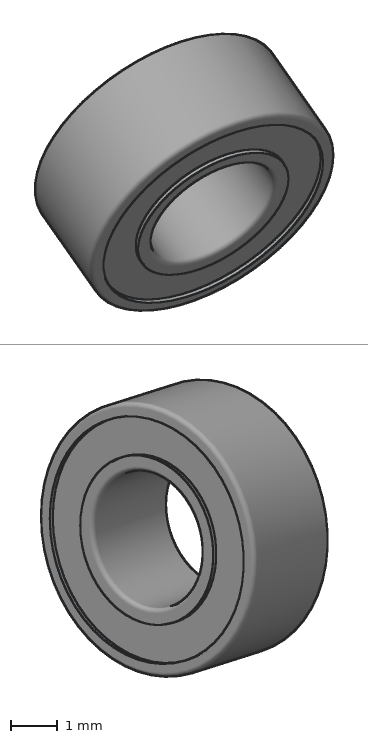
import cadquery as cq

outer_diameter = 6.0
bore_diameter = 3.0
width = 2.5
outer_ring_inner_diameter = 5.4
inner_ring_outer_diameter = 3.7
shield_recess = 0.1
edge_radius = 0.1


def ring(outer, inner, length):
    """Ring around the X axis, centred on the origin."""
    return (
        cq.Workplane("YZ")
        .circle(outer / 2)
        .circle(inner / 2)
        .extrude(length)
        .translate((-length / 2, 0, 0))
    )


body = ring(outer_diameter, bore_diameter, width).edges("%CIRCLE").fillet(edge_radius)

recess = ring(outer_ring_inner_diameter, inner_ring_outer_diameter, shield_recess)
recess_offset = (width - shield_recess) / 2
result = body
for side in (-1, 1):
    result = result.cut(recess.translate((side * recess_offset, 0, 0)))